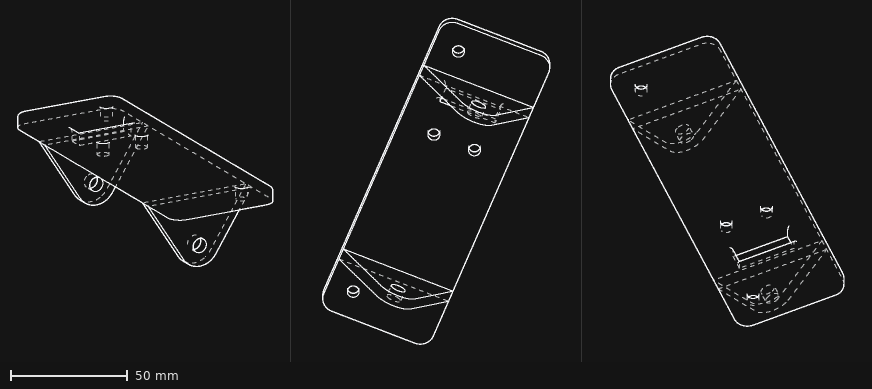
import cadquery as cq
import math

length = 142.2
width = 50.8
total_height = 37.7
plate_thickness = 6.1
corner_radius = 6.1
rim_radius = 1.3

screw_diameter = 5.1
end_hole_x = 59.3
end_hole_y = 14.1
inner_hole_x = -20.2
inner_hole_y = 9.4
screw_positions = [
    (-end_hole_x, end_hole_y),
    (end_hole_x, end_hole_y),
    (inner_hole_x, inner_hole_y),
    (inner_hole_x, -inner_hole_y),
]

slot_x = -38.4
slot_width = 6.5
slot_length = 25.5

leg_x = 45.4
leg_thickness = 5.0
tip_radius = 9.4
pin_diameter = 6.4
leg_height = total_height - plate_thickness


def make_plate():
    blank = cq.Workplane("XY").box(length, width, plate_thickness, centered=(True, True, False))
    screw_holes = (
        cq.Workplane("XY")
        .pushPoints(screw_positions)
        .circle(screw_diameter / 2)
        .extrude(plate_thickness)
    )
    slot = cq.Workplane("XY").center(slot_x, 0).rect(slot_width, slot_length).extrude(plate_thickness)
    plate = blank.edges("|Z").fillet(corner_radius).cut(screw_holes).cut(slot)
    return plate.faces(">Z").edges().fillet(rim_radius)


def make_leg(x):
    half_width = width / 2
    tip_z = tip_radius - leg_height
    corner_distance = math.hypot(half_width, tip_z)
    tangent_angle = math.atan2(-tip_z, half_width) - math.acos(tip_radius / corner_distance)
    tangent_y = tip_radius * math.cos(tangent_angle)
    tangent_z = tip_z + tip_radius * math.sin(tangent_angle)
    return (
        cq.Workplane("YZ", origin=(x - leg_thickness / 2, 0, 0))
        .moveTo(-half_width, 0)
        .lineTo(-tangent_y, tangent_z)
        .threePointArc((0, -leg_height), (tangent_y, tangent_z))
        .lineTo(half_width, 0)
        .close()
        .moveTo(0, tip_z)
        .circle(pin_diameter / 2)
        .extrude(leg_thickness)
    )


result = make_plate()
for side in (-1, 1):
    result = result.union(make_leg(side * leg_x))